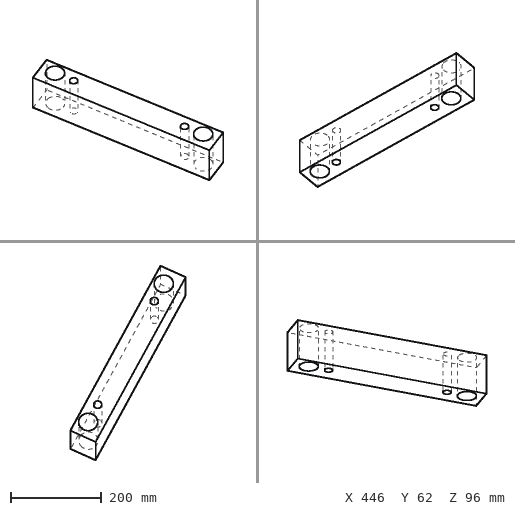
import cadquery as cq

length = 446.0
depth = 62.0
height = 96.0

large_hole_diameter = 42.0
large_hole_spacing = 374.0
small_hole_diameter = 18.0
small_hole_spacing = 280.0
hole_row_from_back = 26.0
hole_row_y = depth / 2 - hole_row_from_back


def make_block():
    """Plain rectangular block centred on the origin."""
    return cq.Workplane("XY").box(length, depth, height)


def drill_hole_pair(body, diameter, spacing):
    """Drill two through holes, mirrored about the middle of the length."""
    centers = [(side * spacing / 2, hole_row_y) for side in (-1, 1)]
    return body.faces(">Z").workplane(origin=(0, 0, 0)).pushPoints(centers).hole(diameter)


result = make_block()
result = drill_hole_pair(result, large_hole_diameter, large_hole_spacing)
result = drill_hole_pair(result, small_hole_diameter, small_hole_spacing)